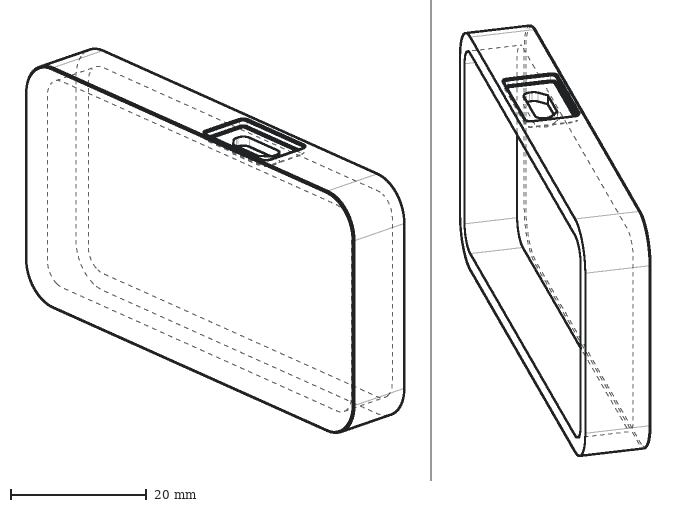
import cadquery as cq

length = 73.5
depth = 10.0
height = 38.5
corner_radius = 6.0
front_edge_chamfer = 0.2

wall = 2.7
front_thickness = 2.0

port_x = 9.05
recess_y = -0.15
recess_length = 14.0
recess_width = 7.95
recess_corner_radius = 0.7
recess_depth = 1.25
recess_chamfer = 0.2

opening_length = 8.7
opening_back_y = 1.6
opening_front_y = -1.9
opening_bevel = 1.55
opening_corner_radius = 2.35 / 2

top_z = height / 2
front_y = -depth / 2
back_y = depth / 2


def rounded_block(block_length, block_height, radius, y_start, y_end):
    """Block running from y_start to y_end, with its four Y-direction edges rounded."""
    return (
        cq.Workplane("XZ", origin=(0, y_end, 0))
        .rect(block_length, block_height)
        .extrude(y_end - y_start)
        .edges("|Y")
        .fillet(radius)
    )


def make_shell():
    """Tray with a closed, chamfered front face and an open back."""
    body = rounded_block(length, height, corner_radius, front_y, back_y)
    body = body.faces("<Y").chamfer(front_edge_chamfer)
    cavity = rounded_block(
        length - 2 * wall,
        height - 2 * wall,
        corner_radius - wall,
        front_y + front_thickness,
        back_y,
    )
    return body.cut(cavity)


def make_recess():
    """Shallow rounded pocket with a chamfer around its floor and a flared rim."""
    pocket = (
        cq.Workplane("XY", origin=(port_x, recess_y, top_z - recess_depth))
        .rect(recess_length, recess_width)
        .extrude(recess_depth)
        .edges("|Z")
        .fillet(recess_corner_radius)
        .faces("<Z")
        .chamfer(recess_chamfer)
    )
    flare = 2 * recess_chamfer
    rim = (
        cq.Workplane("XY", origin=(port_x, recess_y, top_z - recess_chamfer))
        .rect(recess_length + 2 * flare, recess_width + 2 * flare)
        .extrude(2 * flare)
        .edges("|Z")
        .fillet(recess_corner_radius + flare)
        .faces("<Z")
        .chamfer(flare)
    )
    return pocket.union(rim)


def make_opening():
    """D-shaped prism: a rectangle with 45 degree bevels at the front and rounded ends."""
    opening_width = opening_back_y - opening_front_y
    opening_y = (opening_back_y + opening_front_y) / 2
    return (
        cq.Workplane("XY", origin=(port_x, opening_y, top_z - wall))
        .rect(opening_length, opening_width)
        .extrude(wall)
        .edges("|Z and <Y")
        .chamfer(opening_bevel)
        .edges("|Z and (not <Y)")
        .fillet(opening_corner_radius)
    )


result = make_shell().cut(make_recess()).cut(make_opening())